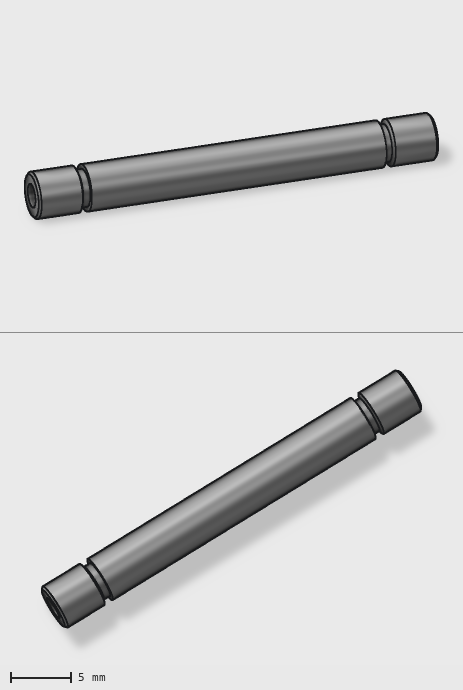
import cadquery as cq

length = 35.0
outer_radius = 2.0
bore_radius = 1.0

end_chamfer = 0.2

collar_length = 3.8
groove_width = 0.8
groove_depth = 0.4
groove_slope_length = 0.18

half_length = length / 2


def make_tube():
    """Plain tube with a through bore and a chamfer around each end."""
    face_radius = outer_radius - end_chamfer
    chamfer_start = half_length - end_chamfer
    profile = [
        (-half_length, bore_radius),
        (-half_length, face_radius),
        (-chamfer_start, outer_radius),
        (chamfer_start, outer_radius),
        (half_length, face_radius),
        (half_length, bore_radius),
    ]
    return cq.Workplane("YZ").polyline(profile).close().revolve(360, (0, 0), (1, 0))


def make_groove_cutter(side):
    """Ring that cuts the groove at the +Y end (side = 1) or the -Y end (side = -1)."""
    floor_radius = outer_radius - groove_depth
    cutter_radius = outer_radius + groove_depth
    slope_top = half_length - collar_length
    slope_bottom = slope_top - groove_slope_length
    square_wall = slope_top - groove_width
    profile = [
        (side * square_wall, floor_radius),
        (side * slope_bottom, floor_radius),
        (side * slope_top, outer_radius),
        (side * slope_top, cutter_radius),
        (side * square_wall, cutter_radius),
    ]
    return cq.Workplane("YZ").polyline(profile).close().revolve(360, (0, 0), (1, 0))


result = make_tube()
for end_side in (-1, 1):
    result = result.cut(make_groove_cutter(end_side))